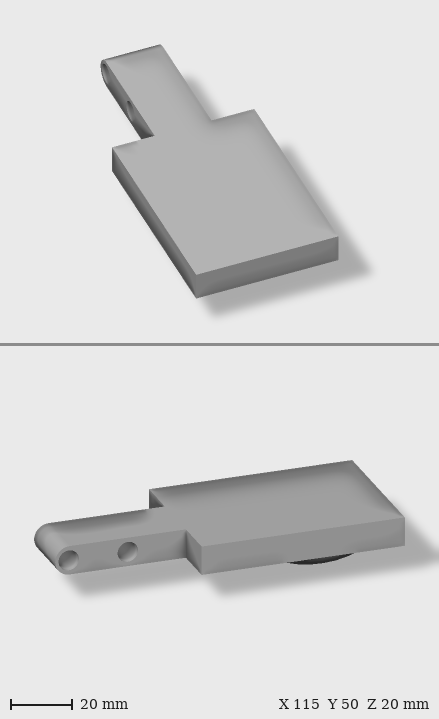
import cadquery as cq

thickness = 10.0
blade_length = 70.0
blade_width = 50.0

handle_length = 45.0
handle_width = 20.0
end_radius = thickness / 2

hole_diameter = 7.0
outer_hole_x = 4.65
inner_hole_x = 25.0

dome_height = 10.0
dome_sphere_radius = 35.0
dome_center_x = handle_length + blade_length - blade_width / 2


def make_blade():
    """Flat rectangular plate with its underside at Z = 0."""
    blade = cq.Workplane("XY").box(
        blade_length, blade_width, thickness, centered=(False, True, False)
    )
    return blade.translate((handle_length, 0, 0))


def make_handle():
    """Handle profile in the XZ plane, extruded symmetrically across Y."""
    return (
        cq.Workplane("XZ")
        .moveTo(handle_length, 0)
        .lineTo(end_radius, 0)
        .threePointArc((0, end_radius), (end_radius, thickness))
        .lineTo(handle_length, thickness)
        .close()
        .extrude(handle_width / 2, both=True)
    )


def make_cross_holes():
    """Cylinders along Y that pass right through the handle."""
    centers = [(x, thickness / 2) for x in (outer_hole_x, inner_hole_x)]
    return (
        cq.Workplane("XZ")
        .pushPoints(centers)
        .circle(hole_diameter / 2)
        .extrude(handle_width, both=True)
    )


def make_dome():
    """Spherical cap hanging below the blade, cut flat at the blade underside."""
    sphere_center_z = dome_sphere_radius - dome_height
    sphere = cq.Workplane("XZ").sphere(dome_sphere_radius)
    sphere = sphere.translate((dome_center_x, 0, sphere_center_z))
    side = 2 * dome_sphere_radius
    space_below_blade = cq.Workplane("XY").box(side, side, side)
    space_below_blade = space_below_blade.translate((dome_center_x, 0, -side / 2))
    return sphere.intersect(space_below_blade)


result = make_blade().union(make_handle()).cut(make_cross_holes()).union(make_dome())